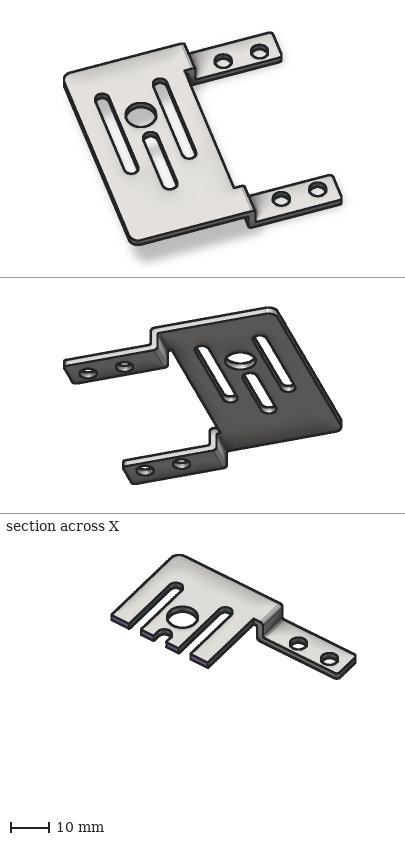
import cadquery as cq

width = 58.5
depth = 58.0
height = 7.0
thickness = 1.95

bend_back_y = 34.0
bend_inner_radius = 0.45
bend_outer_radius = 1.0

tab_width = 8.8
notch_front_y = 31.0

plate_corner_radius = 2.5
tab_corner_radius = 1.0

tab_hole_diameter = 4.5
tab_hole_inset = 5.2
tab_hole_back_inset = 5.15
tab_hole_spacing = 10.0

opening_middle_y = 15.55
round_hole_diameter = 8.0
round_hole_x = 19.15
long_slot_start = 9.2
long_slot_length = 27.7
long_slot_width = 3.75
long_slot_offset = 7.95
short_slot_start = 25.2
short_slot_length = 19.8
short_slot_width = 4.0

left_x = -width / 2
bend_front_y = bend_back_y - thickness


def bent_sheet():
    """Z-shaped side profile swept across the full width, with rounded bends."""
    profile = [
        (0, height),
        (bend_back_y, height),
        (bend_back_y, thickness),
        (depth, thickness),
        (depth, 0),
        (bend_front_y, 0),
        (bend_front_y, height - thickness),
        (0, height - thickness),
    ]
    sheet = cq.Workplane("YZ").polyline(profile).close().extrude(width / 2, both=True)
    bends = [
        (bend_back_y, height, bend_outer_radius),
        (bend_back_y, thickness, bend_inner_radius),
        (bend_front_y, 0, bend_outer_radius),
        (bend_front_y, height - thickness, bend_inner_radius),
    ]
    for y, z, radius in bends:
        sheet = sheet.edges(cq.NearestToPointSelector((0, y, z))).fillet(radius)
    return sheet


def notch():
    notch_width = width - 2 * tab_width
    notch_depth = depth - notch_front_y
    return (
        cq.Workplane("XY")
        .center(0, notch_front_y + notch_depth / 2)
        .rect(notch_width, notch_depth)
        .extrude(height)
    )


def slot(start, y, length, slot_width):
    """Round-ended slot along X; start is its distance from the left edge."""
    return (
        cq.Workplane("XY")
        .center(left_x + start + length / 2, y)
        .slot2D(length, slot_width)
        .extrude(height)
    )


def round_holes(points, diameter):
    return cq.Workplane("XY").pushPoints(points).circle(diameter / 2).extrude(height)


result = bent_sheet().cut(notch())
result = result.faces("<Y").edges("|Z").fillet(plate_corner_radius)
result = result.faces(">Y").edges("|Z").fillet(tab_corner_radius)

tab_hole_x = width / 2 - tab_hole_inset
tab_hole_back_y = depth - tab_hole_back_inset
tab_hole_points = [
    (x, y)
    for x in (-tab_hole_x, tab_hole_x)
    for y in (tab_hole_back_y, tab_hole_back_y - tab_hole_spacing)
]
result = result.cut(round_holes(tab_hole_points, tab_hole_diameter))

result = result.cut(round_holes([(left_x + round_hole_x, opening_middle_y)], round_hole_diameter))
result = result.cut(slot(short_slot_start, opening_middle_y, short_slot_length, short_slot_width))
for side in (-1, 1):
    long_slot_y = opening_middle_y + side * long_slot_offset
    result = result.cut(slot(long_slot_start, long_slot_y, long_slot_length, long_slot_width))